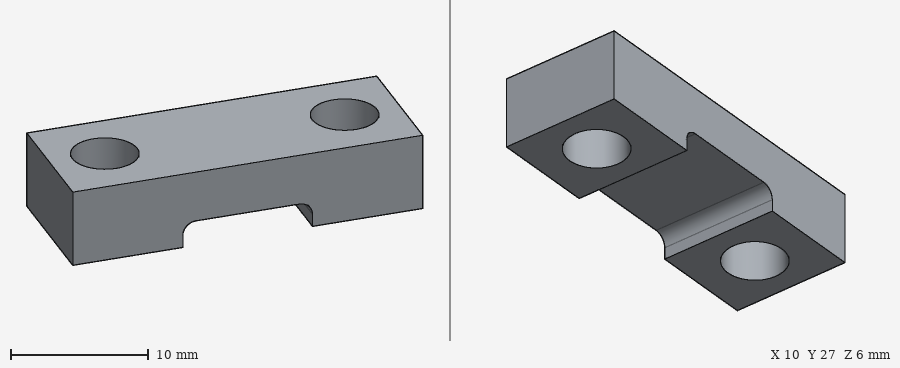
import cadquery as cq

length = 27.0
width = 10.0
height = 6.0

hole_diameter = 5.0
hole_spacing = 18.5

channel_width = width
channel_depth = 2.0
channel_radius = 1.0


def make_block():
    """Block centred in X and Y, standing on Z = 0."""
    return cq.Workplane("XY").box(width, length, height, centered=(True, True, False))


def make_channel():
    """Channel running along X, rounded where its walls meet its ceiling."""
    channel = cq.Workplane("XY").box(width, channel_width, channel_depth, centered=(True, True, False))
    return channel.faces(">Z").edges("|X").fillet(channel_radius)


def make_holes():
    """Pair of full-height cylinders placed symmetrically along Y."""
    centres = [(0, -hole_spacing / 2), (0, hole_spacing / 2)]
    return cq.Workplane("XY").pushPoints(centres).circle(hole_diameter / 2).extrude(height)


result = make_block().cut(make_channel()).cut(make_holes())